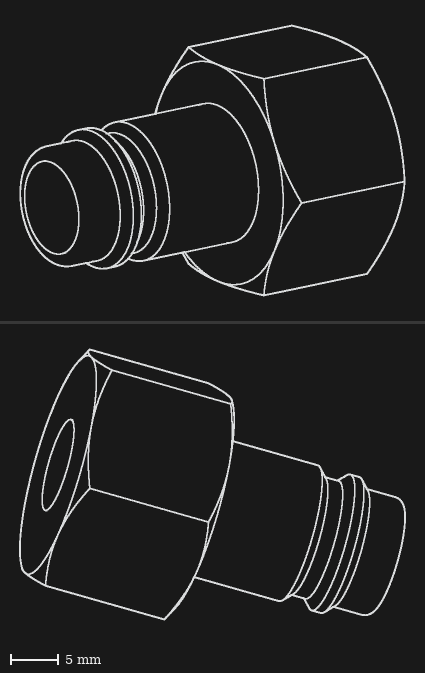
import cadquery as cq
import math

total_length = 37.0
across_flats = 24.0
hex_length = 15.5
hex_chamfer_angle = 30.0
shank_diameter = 15.0
neck_diameter = 13.0
bore_diameter = 10.0
tip_round = 1.0

shank_start = 10.0
collar_rim_start = 5.3
collar_rim_end = 6.33

across_corners = across_flats / math.cos(math.radians(30))
hex_start = total_length - hex_length
shank_radius = shank_diameter / 2
neck_radius = neck_diameter / 2
bevel = shank_radius - neck_radius


def revolve_about_y(profile):
    return profile.close().revolve(360, (0, 0, 0), (0, 1, 0))


def make_hex():
    """Hexagon with corners on X, both ends turned to a cone."""
    prism = (
        cq.Workplane("XZ", origin=(0, hex_start, 0))
        .polygon(6, across_corners)
        .extrude(-hex_length)
    )
    face_radius = across_flats / 2
    corner_radius = across_corners / 2
    slope = math.tan(math.radians(hex_chamfer_angle))
    drop = (corner_radius - face_radius) * slope
    turned_blank = revolve_about_y(
        cq.Workplane("XY")
        .moveTo(0, hex_start)
        .lineTo(face_radius, hex_start)
        .lineTo(corner_radius, hex_start + drop)
        .lineTo(corner_radius, total_length - drop)
        .lineTo(face_radius, total_length)
        .lineTo(0, total_length)
    )
    return prism.intersect(turned_blank)


def make_plug():
    """Turned plug with a rounded tip, a bevelled collar and a groove behind it."""
    round_centre = neck_radius - tip_round
    round_offset = tip_round * math.sqrt(0.5)
    return revolve_about_y(
        cq.Workplane("XY")
        .moveTo(0, 0)
        .lineTo(round_centre, 0)
        .threePointArc(
            (round_centre + round_offset, tip_round - round_offset),
            (neck_radius, tip_round),
        )
        .lineTo(neck_radius, collar_rim_start - bevel)
        .lineTo(shank_radius, collar_rim_start)
        .lineTo(shank_radius, collar_rim_end)
        .lineTo(neck_radius, collar_rim_end + bevel)
        .lineTo(neck_radius, shank_start - bevel)
        .lineTo(shank_radius, shank_start)
        .lineTo(shank_radius, hex_start)
        .lineTo(0, hex_start)
    )


bore = cq.Workplane("XZ").circle(bore_diameter / 2).extrude(-total_length)

result = make_hex().union(make_plug()).cut(bore)